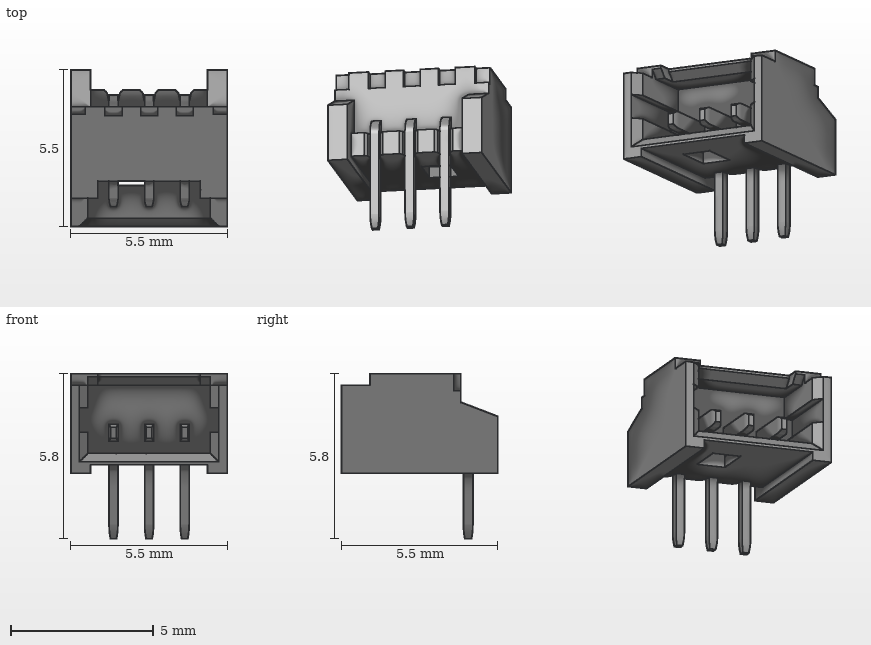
import cadquery as cq
import math


width = 5.5
depth = 5.5
height = 3.5
half_width = width / 2
roof_back = 4.2
wing_thickness = 0.7
wing_front_height = 2.5
wing_back_height = 2.0
front_wall_height = 3.1
roof_front = 1.0
channel_height = 0.3

wall = 0.6
cavity_floor = 0.7
cavity_ceiling = front_wall_height
cavity_back = 2.95
lead_in = 0.3
notch_half_width = 1.8
notch_back = 1.6
slot_depth = 0.3
slot_bottom = 1.45
slot_top = 2.3

window_left = -1.15
window_right = -0.1
window_front = 1.45

recess_floor = 2.9
corner_recess_width = 0.5
corner_recess_depth = 0.25
pin_recess_width = 0.6
pin_recess_depth = 0.3

pin_pitch = 1.25
pin_xs = [-pin_pitch, 0, pin_pitch]
pin_width = 0.32
pin_bottom = 1.13
pin_height = 0.6
pin_top = pin_bottom + pin_height
pin_front = 0.7
pin_tip_length = 0.3
pin_tip_side_inset = 0.06
pin_tip_top_inset = 0.105
leg_thickness = 0.34
leg_back = 4.625
leg_front = leg_back - leg_thickness
leg_end = -2.3
leg_tip_length = 0.5
leg_tip_inset = 0.05
bend_radius = pin_height

shelf_back = 4.8
shelf_top = pin_bottom
slot_mouth_half_width = 0.33
slot_chamfer = 0.11
slot_flare_start = 4.4


def box(x_min, x_max, y_min, y_max, z_min, z_max):
    """Axis-aligned box between two opposite corners."""
    size = (x_max - x_min, y_max - y_min, z_max - z_min)
    return cq.Workplane("XY").box(*size, centered=False).translate((x_min, y_min, z_min))


def side_prism(points, x_min, x_max):
    """Polygon of (y, z) points extruded along X."""
    return cq.Workplane("YZ").workplane(offset=x_min).polyline(points).close().extrude(x_max - x_min)


def arc_midpoint(length, inset):
    """Halfway point (along, inward) of an arc that starts straight ahead and drifts inward by inset."""
    radius = (length**2 + inset**2) / (2 * inset)
    half_angle = math.asin(length / radius) / 2
    return radius * math.sin(half_angle), radius * (1 - math.cos(half_angle))


def bullet(plane, base_width, length, inset, thickness):
    """Plate whose outline narrows along +Y of the plane with two convex arcs."""
    half = base_width / 2
    along, inward = arc_midpoint(length, inset)
    return (
        cq.Workplane(plane)
        .moveTo(-half, 0)
        .lineTo(half, 0)
        .threePointArc((half - inward, along), (half - inset, length))
        .lineTo(inset - half, length)
        .threePointArc((inward - half, along), (-half, 0))
        .close()
        .extrude(thickness / 2, both=True)
    )


def make_tip(base_x, base_y, length, inset_x, inset_y):
    """Tip on the XY plane pointing along +Z, narrowing on all four sides."""
    plane_xz = cq.Plane((0, 0, 0), xDir=(1, 0, 0), normal=(0, -1, 0))
    plane_yz = cq.Plane((0, 0, 0), xDir=(0, 1, 0), normal=(1, 0, 0))
    across_x = bullet(plane_xz, base_x, length, inset_x, base_y)
    across_y = bullet(plane_yz, base_y, length, inset_y, base_x)
    return across_x.intersect(across_y)


def make_shell():
    """Solid housing: stepped block, sloped rear wings, rear shelf and the channel between the feet."""
    profile = [
        (0, 0),
        (depth, 0),
        (depth, wing_back_height),
        (roof_back, wing_front_height),
        (roof_back, height),
        (roof_front, height),
        (roof_front, front_wall_height),
        (0, front_wall_height),
    ]
    shell = side_prism(profile, -half_width, half_width)
    inner = half_width - wing_thickness
    shell = shell.cut(box(-inner, inner, roof_back, depth, shelf_top, height))
    shell = shell.cut(box(-inner, inner, shelf_back, depth, 0, height))
    return shell.cut(box(-inner, inner, 0, depth, 0, channel_height))


def make_cavity():
    """Mating cavity with its lead-in at the mouth, guide slots and the chamfers under the roof edge."""
    inner = half_width - wall
    cavity = box(-inner, inner, 0, cavity_back, cavity_floor, cavity_ceiling)
    mouth = inner + lead_in
    mouth_plan = [(-mouth, 0), (mouth, 0), (inner, lead_in), (-inner, lead_in)]
    mouth_profile = [
        (0, cavity_floor - lead_in),
        (lead_in, cavity_floor),
        (lead_in, front_wall_height),
        (0, front_wall_height),
    ]
    side_lead_in = cq.Workplane("XY").polyline(mouth_plan).close().extrude(front_wall_height)
    floor_lead_in = side_prism(mouth_profile, -mouth, mouth)
    cavity = cavity.union(side_lead_in.intersect(floor_lead_in))
    slot_reach = inner + slot_depth
    cavity = cavity.union(box(-slot_reach, slot_reach, 0, cavity_back, slot_bottom, slot_top))
    cavity = cavity.union(
        box(-notch_half_width, notch_half_width, 0, notch_back, cavity_ceiling, height)
    )
    for edge_y, reach in ((roof_front, inner), (notch_back, notch_half_width)):
        chamfer = [
            (edge_y, cavity_ceiling),
            (edge_y + lead_in, cavity_ceiling),
            (edge_y, cavity_ceiling + lead_in),
        ]
        cavity = cavity.union(side_prism(chamfer, -reach, reach))
    window = box(window_left, window_right, window_front, cavity_back, 0, cavity_floor)
    return cavity.union(window)


def make_rear_recesses():
    """Shallow recesses in the rear roof edge: one at each corner and one over each pin."""
    corner_front = roof_back - corner_recess_depth
    corner_inner = half_width - corner_recess_width
    recesses = box(-half_width, -corner_inner, corner_front, roof_back, recess_floor, height)
    recesses = recesses.union(
        box(corner_inner, half_width, corner_front, roof_back, recess_floor, height)
    )
    pin_recess_front = roof_back - pin_recess_depth
    half = pin_recess_width / 2
    for x in pin_xs:
        recesses = recesses.union(
            box(x - half, x + half, pin_recess_front, roof_back, recess_floor, height)
        )
    return recesses


def make_leg_slot():
    """Slot through the rear shelf: leg-wide at the front, a slight flare, then chamfered corners."""
    half = pin_width / 2
    throat_half_width = slot_mouth_half_width - slot_chamfer
    flare_end = shelf_back - slot_chamfer
    right_side = [
        (half, leg_front),
        (half, slot_flare_start),
        (throat_half_width, flare_end),
        (slot_mouth_half_width, shelf_back),
    ]
    left_side = [(-x, y) for x, y in reversed(right_side)]
    return cq.Workplane("XY").polyline(right_side + left_side).close().extrude(shelf_top)


def make_pin():
    """Bent contact centred on x = 0: flat blade forward, leg down, tapered at both ends."""
    blade_start = pin_front + pin_tip_length
    leg_start = leg_end + leg_tip_length
    bend_offset = bend_radius * (1 - math.sqrt(0.5))
    bent_strip = (
        cq.Workplane("YZ")
        .moveTo(blade_start, pin_bottom)
        .lineTo(leg_front, pin_bottom)
        .lineTo(leg_front, leg_start)
        .lineTo(leg_back, leg_start)
        .lineTo(leg_back, pin_top - bend_radius)
        .threePointArc(
            (leg_back - bend_offset, pin_top - bend_offset),
            (leg_back - bend_radius, pin_top),
        )
        .lineTo(blade_start, pin_top)
        .close()
        .extrude(pin_width / 2, both=True)
    )
    blade_tip = (
        make_tip(pin_width, pin_height, pin_tip_length, pin_tip_side_inset, pin_tip_top_inset)
        .rotate((0, 0, 0), (1, 0, 0), 90)
        .translate((0, blade_start, pin_bottom + pin_height / 2))
    )
    leg_tip = (
        make_tip(pin_width, leg_thickness, leg_tip_length, leg_tip_inset, leg_tip_inset)
        .rotate((0, 0, 0), (1, 0, 0), 180)
        .translate((0, leg_back - leg_thickness / 2, leg_start))
    )
    return bent_strip.union(blade_tip).union(leg_tip)


housing = make_shell().cut(make_cavity()).cut(make_rear_recesses())
leg_slot = make_leg_slot()
pin = make_pin()
for pin_x in pin_xs:
    housing = housing.cut(leg_slot.translate((pin_x, 0, 0)))
    housing = housing.union(pin.translate((pin_x, 0, 0)))

result = housing